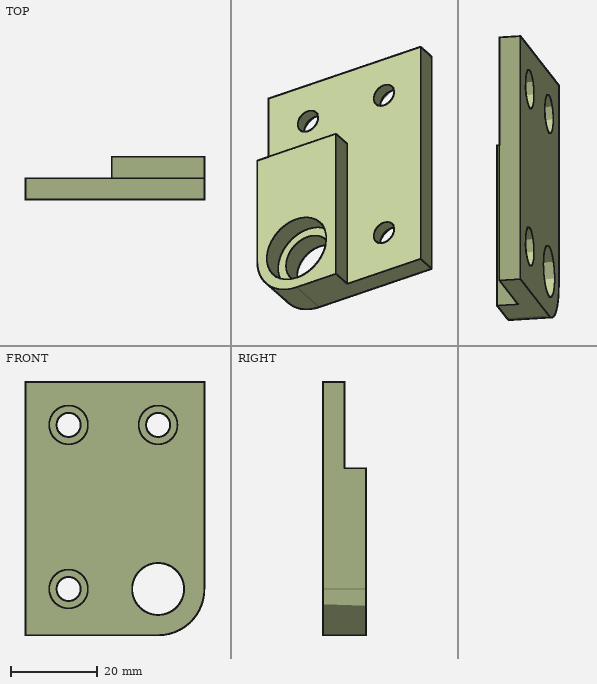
import cadquery as cq

width = 41.5
height = 58.75
plate_thickness = 5.0
hole_edge_offset = 10.0
corner_radius = 10.75

block_width = 2 * corner_radius
block_height = 38.8
block_thickness = 5.0

screw_diameter = 5.5
counterbore_diameter = 9.0
counterbore_depth = 2.0
bore_diameter = 12.0
rear_recess_diameter = 16.2
rear_recess_start = plate_thickness

left_x = hole_edge_offset
right_x = width - corner_radius
top_z = height - hole_edge_offset
bottom_z = corner_radius
screw_centers = [(left_x, top_z), (right_x, top_z), (left_x, bottom_z)]
bore_center = [(right_x, bottom_z)]

total_thickness = plate_thickness + block_thickness


def extrude_back(sketch, depth):
    """Extrude an XZ sketch toward +Y."""
    return sketch.extrude(-depth)


def slab(x_start, slab_width, slab_height, start_y, thickness):
    """Upright slab on Z = 0 whose lower +X corner is rounded."""
    sketch = (
        cq.Workplane("XZ", origin=(x_start, start_y, 0))
        .rect(slab_width, slab_height, centered=False)
    )
    return extrude_back(sketch, thickness).edges("|Y and >X and <Z").fillet(corner_radius)


def cylinders(centers, diameter, depth, start_y=0):
    """Round cutters running toward +Y from start_y."""
    plane = cq.Workplane("XZ", origin=(0, start_y, 0))
    return extrude_back(plane.pushPoints(centers).circle(diameter / 2), depth)


plate = slab(0, width, height, 0, plate_thickness)
block = slab(width - block_width, block_width, block_height, plate_thickness, block_thickness)

result = (
    plate.union(block)
    .cut(cylinders(screw_centers, screw_diameter, total_thickness))
    .cut(cylinders(screw_centers, counterbore_diameter, counterbore_depth))
    .cut(cylinders(bore_center, bore_diameter, total_thickness))
    .cut(cylinders(bore_center, rear_recess_diameter, total_thickness - rear_recess_start, rear_recess_start))
)